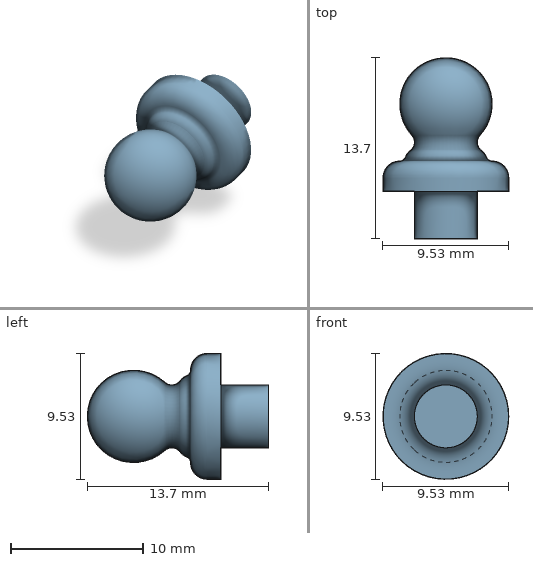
import cadquery as cq
import math


FLANGE_RADIUS = 9.53 / 2
FLANGE_RIM_HEIGHT = 1.03
FLANGE_ROUND_RADIUS = 1.27

PIN_RADIUS = FLANGE_RADIUS / 2
PIN_LENGTH = 3.60

BALL_RADIUS = 3.50
TOTAL_LENGTH = 13.72

NECK_RADIUS = PIN_RADIUS
NECK_HEIGHT = 3.72

COLLAR_TOP_HEIGHT = 3.15
COLLAR_BASE_HEIGHT = 2.57
COLLAR_BASE_RADIUS = 3.08
COLLAR_ROUND_RADIUS = FLANGE_ROUND_RADIUS


def point_at(center, radius, angle):
    """Point on a circle, with the angle in radians from the outward direction."""
    return (center[0] + radius * math.cos(angle), center[1] + radius * math.sin(angle))


def arc_middle(start, end, radius, bulge_side):
    """Middle of the short arc from start to end; bulge_side +1 is right of travel, -1 is left."""
    dx = end[0] - start[0]
    dy = end[1] - start[1]
    chord = math.hypot(dx, dy)
    sagitta = radius - math.sqrt(radius**2 - (chord / 2) ** 2)
    offset = bulge_side * sagitta / chord
    return ((start[0] + end[0]) / 2 + offset * dy, (start[1] + end[1]) / 2 - offset * dx)


def make_profile():
    """Half section on the XY plane, listed from the pin end up to the top of the ball."""
    flange_top_height = FLANGE_RIM_HEIGHT + FLANGE_ROUND_RADIUS
    round_center = (FLANGE_RADIUS - FLANGE_ROUND_RADIUS, FLANGE_RIM_HEIGHT)
    rim_top = (FLANGE_RADIUS, FLANGE_RIM_HEIGHT)
    round_middle = point_at(round_center, FLANGE_ROUND_RADIUS, math.pi / 4)
    round_end = (round_center[0], flange_top_height)

    collar_base = (COLLAR_BASE_RADIUS, COLLAR_BASE_HEIGHT)
    cove_width = round_end[0] - collar_base[0]
    cove_height = collar_base[1] - flange_top_height
    cove_radius = (cove_width**2 + cove_height**2) / (2 * cove_height)
    cove_middle = arc_middle(round_end, collar_base, cove_radius, -1)

    ball_height = TOTAL_LENGTH - PIN_LENGTH - BALL_RADIUS
    neck_drop = ball_height - NECK_HEIGHT
    hollow_radius = (NECK_RADIUS**2 + neck_drop**2 - BALL_RADIUS**2) / (2 * (BALL_RADIUS - NECK_RADIUS))
    hollow_center = (NECK_RADIUS + hollow_radius, NECK_HEIGHT)
    neck = (NECK_RADIUS, NECK_HEIGHT)

    collar_turn = math.asin((NECK_HEIGHT - COLLAR_TOP_HEIGHT) / hollow_radius)
    collar_top = point_at(hollow_center, hollow_radius, math.pi + collar_turn)
    lower_hollow_middle = point_at(hollow_center, hollow_radius, math.pi + collar_turn / 2)
    collar_middle = arc_middle(collar_base, collar_top, COLLAR_ROUND_RADIUS, 1)

    ball_turn = math.atan2(neck_drop, hollow_center[0])
    ball_center = (0, ball_height)
    ball_base = point_at(ball_center, BALL_RADIUS, -ball_turn)
    upper_hollow_middle = point_at(hollow_center, hollow_radius, math.pi - ball_turn / 2)
    ball_side = point_at(ball_center, BALL_RADIUS, 0)
    ball_top = (0, ball_height + BALL_RADIUS)

    return (
        cq.Workplane("XY")
        .moveTo(0, -PIN_LENGTH)
        .lineTo(PIN_RADIUS, -PIN_LENGTH)
        .lineTo(PIN_RADIUS, 0)
        .lineTo(FLANGE_RADIUS, 0)
        .lineTo(*rim_top)
        .threePointArc(round_middle, round_end)
        .threePointArc(cove_middle, collar_base)
        .threePointArc(collar_middle, collar_top)
        .threePointArc(lower_hollow_middle, neck)
        .threePointArc(upper_hollow_middle, ball_base)
        .threePointArc(ball_side, ball_top)
        .close()
    )


FULL_TURN = 360
result = make_profile().revolve(FULL_TURN, (0, 0, 0), (0, 1, 0))